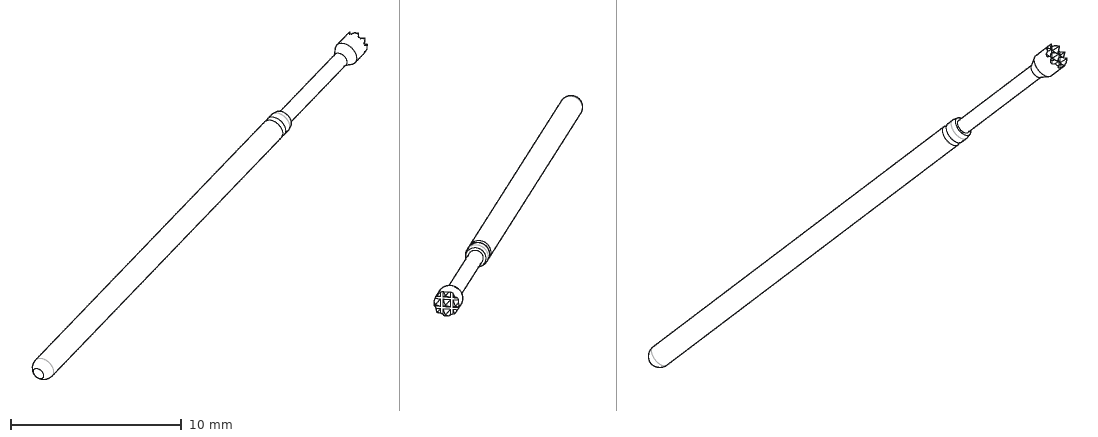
import cadquery as cq
import math


total_length = 35.4
mouth_y = 27.0
tail_round_length = 0.6
mouth_taper_length = 0.3
head_length = 1.4
neck_length = 0.6
crimp_offset = 0.9
crimp_width = 0.32

head_radius = 1.5 / 2
barrel_radius = 1.36 / 2
shaft_radius = 0.9 / 2
tail_flat_radius = 0.36
mouth_radius = 0.61
crimp_depth = 0.06

serration_pitch = 0.6
serration_angle = 60
groove_floor_width = 0.14
groove_offsets = [step * serration_pitch for step in (-1.5, -0.5, 0.5, 1.5)]

head_start_y = total_length - head_length


def revolve_about_y(half_profile):
    """Full turn of a closed half profile about the probe axis."""
    return half_profile.revolve(360, (0, 0, 0), (0, 1, 0))


def barrel():
    """Body with a tapered mouth, a crimp groove and a rounded tail."""
    crimp_y = mouth_y - crimp_offset
    half_profile = (
        cq.Workplane("XY")
        .moveTo(0, mouth_y)
        .lineTo(mouth_radius, mouth_y)
        .lineTo(barrel_radius, mouth_y - mouth_taper_length)
        .lineTo(barrel_radius, crimp_y + crimp_width / 2)
        .threePointArc(
            (barrel_radius - crimp_depth, crimp_y),
            (barrel_radius, crimp_y - crimp_width / 2),
        )
        .lineTo(barrel_radius, tail_round_length)
        .tangentArcPoint((tail_flat_radius, 0), relative=False)
        .lineTo(0, 0)
        .close()
    )
    return revolve_about_y(half_profile)


def plunger():
    """Shaft, neck and plain round head, before the crown is cut."""
    half_profile = (
        cq.Workplane("XY")
        .moveTo(0, mouth_y)
        .lineTo(shaft_radius, mouth_y)
        .lineTo(shaft_radius, head_start_y - neck_length)
        .lineTo(head_radius, head_start_y)
        .lineTo(head_radius, total_length)
        .lineTo(0, total_length)
        .close()
    )
    return revolve_about_y(half_profile)


def crown_groove(offset):
    """Flat-floored V groove along Z, centred at X = offset and open at the tip."""
    half_width = serration_pitch / 2
    half_floor = groove_floor_width / 2
    depth = (half_width - half_floor) / math.tan(math.radians(serration_angle / 2))
    floor_y = total_length - depth
    return (
        cq.Workplane("XY")
        .moveTo(offset - half_floor, floor_y)
        .lineTo(offset + half_floor, floor_y)
        .lineTo(offset + half_width, total_length)
        .lineTo(offset - half_width, total_length)
        .close()
        .extrude(2 * head_radius, both=True)
    )


result = barrel().union(plunger())
for groove_offset in groove_offsets:
    groove = crown_groove(groove_offset)
    crossing_groove = groove.rotate((0, 0, 0), (0, 1, 0), 90)
    result = result.cut(groove).cut(crossing_groove)